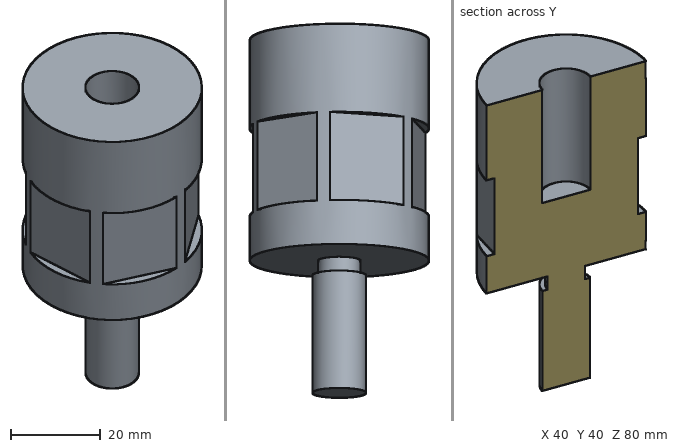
import cadquery as cq

total_height = 80.0
body_diameter = 40.0
body_height = 50.0
body_bottom = total_height - body_height

flat_count = 6
across_flats = 36.0
flats_bottom = 40.0
flats_height = 20.0

stud_diameter = 12.0
neck_diameter = 9.4
neck_height = 3.4
stud_height = body_bottom - neck_height

bore_diameter = stud_diameter
bore_depth = body_bottom


def cylinder(diameter, bottom, height):
    return cq.Workplane("XY").workplane(offset=bottom).circle(diameter / 2).extrude(height)


def wrench_flat_cutter():
    """Ring of stock outside a hexagon that has two flats facing -X and +X."""
    ring = cylinder(2 * body_diameter, flats_bottom, flats_height)
    hexagon = (
        cq.Workplane("XY")
        .workplane(offset=flats_bottom)
        .polygon(flat_count, across_flats, circumscribed=True)
        .extrude(flats_height)
    )
    return ring.cut(hexagon)


body = cylinder(body_diameter, body_bottom, body_height)
body = body.cut(wrench_flat_cutter())
body = body.cut(cylinder(bore_diameter, total_height - bore_depth, bore_depth))

stud = cylinder(stud_diameter, 0, stud_height)
neck = cylinder(neck_diameter, stud_height, neck_height)

result = body.union(neck).union(stud)